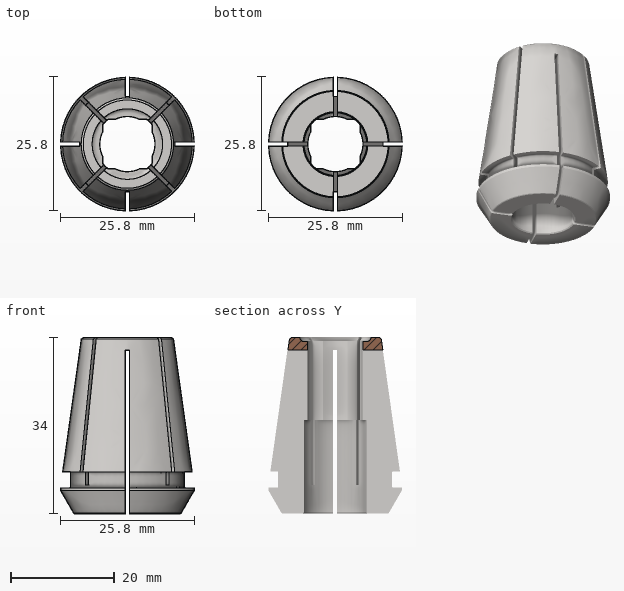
import cadquery as cq
import math

height = 34.0
flange_radius = 12.9

base_radius = 10.3
base_edge_chamfer = 0.12
flange_rim_bottom = 4.5
flange_top = 5.0

groove_radius = 11.0
groove_top = 8.1
groove_fillet = 0.2

taper_radius = 12.5
taper_half_angle = 8.0
taper_top_chamfer = 0.35

shank_radius = 6.05
shank_depth = 18.0
shank_mouth_chamfer = 0.2
shank_mouth_angle = 45
square_side = 9.5
relief_radius = 5.3

recess_radius = 6.8
recess_depth = 0.75

slot_width = 0.8
slots_per_end = 4
lower_slot_end = 31.5
upper_slot_floor = 5.5


def make_body():
    """Revolved outside: conical base, flange rim, filleted groove and taper, with chamfered ends."""
    taper_rise = height - groove_top
    top_radius = taper_radius - taper_rise * math.tan(math.radians(taper_half_angle))
    profile = (
        cq.Workplane("XZ")
        .lineTo(base_radius, 0)
        .lineTo(flange_radius, flange_rim_bottom)
        .lineTo(flange_radius, flange_top)
        .lineTo(groove_radius + groove_fillet, flange_top)
        .radiusArc((groove_radius, flange_top + groove_fillet), groove_fillet)
        .lineTo(groove_radius, groove_top - groove_fillet)
        .radiusArc((groove_radius + groove_fillet, groove_top), groove_fillet)
        .lineTo(taper_radius, groove_top)
        .lineTo(top_radius, height)
        .lineTo(0, height)
        .close()
    )
    body = profile.revolve(360, (0, 0, 0), (0, 1, 0))
    body = body.faces(">Z").edges().chamfer(taper_top_chamfer)
    return body.faces("<Z").edges().chamfer(base_edge_chamfer)


def make_bore():
    """Shank bore with chamfered mouth, relieved square above it and the coved recess on top."""
    shank = cq.Workplane("XY").circle(shank_radius).extrude(shank_depth)
    mouth = (
        cq.Workplane("XY")
        .circle(shank_radius + shank_mouth_chamfer)
        .extrude(shank_mouth_chamfer, taper=shank_mouth_angle)
    )
    square_zone = cq.Workplane("XY").workplane(offset=shank_depth)
    square = square_zone.rect(square_side, square_side).extrude(height - shank_depth)
    relief = square_zone.circle(relief_radius).extrude(height - shank_depth)
    recess_floor = height - recess_depth
    recess = (
        cq.Workplane("XZ")
        .moveTo(0, recess_floor)
        .lineTo(recess_radius - recess_depth, recess_floor)
        .radiusArc((recess_radius, height), -recess_depth)
        .lineTo(0, height)
        .close()
        .revolve(360, (0, 0, 0), (0, 1, 0))
    )
    return shank.union(mouth).union(square).union(relief).union(recess)


def make_slots(bottom, top, start_angle):
    """Evenly spaced radial slots running from the axis outward, between two heights."""
    slots = cq.Workplane("XY")
    slot_length = 2 * flange_radius
    for index in range(slots_per_end):
        slot = (
            cq.Workplane("XY")
            .box(slot_length, slot_width, top - bottom, centered=(False, True, False))
            .translate((0, 0, bottom))
            .rotate((0, 0, 0), (0, 0, 1), start_angle + index * 360 / slots_per_end)
        )
        slots = slots.add(slot)
    return slots.combine()


lower_slots = make_slots(0, lower_slot_end, 0)
upper_slots = make_slots(upper_slot_floor, height, 180 / slots_per_end)
result = make_body().cut(make_bore()).cut(lower_slots).cut(upper_slots)